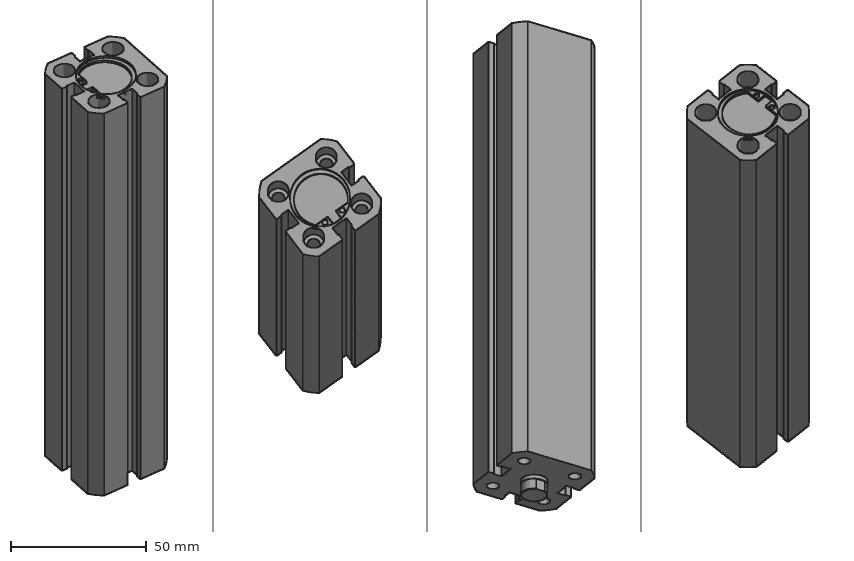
import cadquery as cq

TOTAL_LENGTH = 188.0
ROD_EXPOSED = 6.0
BODY_WIDTH = 36.0
CORNER_RADIUS = 22.5

SLOT_MOUTH_WIDTH = 5.6
SLOT_MOUTH_DEPTH = 2.5
SLOT_INNER_WIDTH = 6.4
SLOT_DEPTH = 5.8
SLOT_EDGE_CHAMFER = 0.2
SLOT_ANGLES = (0, 90, -90)

SCREW_PITCH = 22.0
SCREW_HOLE_DIAMETER = 4.7
COUNTERBORE_DIAMETER = 7.9
COUNTERBORE_DEPTH = 9.4

BORE_DIAMETER = 22.2
CAP_THICKNESS = 9.4
GROOVE_DIAMETER = 23.3
RING_RECESS = 1.0
RING_THICKNESS = 1.0
RING_INNER_DIAMETER = 20.0
RING_OFFSET = 0.5
RING_GAP = 3.8
LUG_TOP = -7.3
LUG_HOLE_DIAMETER = 2.0
LUG_HOLE_X = 4.0
LUG_HOLE_Y = -8.5

ROD_DIAMETER = 10.0
ROD_TIP_DIAMETER = 9.8
ROD_FLATS = 9.0
COLLAR_LENGTH = 1.7
ROD_CHAMFER = 0.2

HALF_WIDTH = BODY_WIDTH / 2
ROD_END = 0.0
HOUSING_BOTTOM = ROD_END + ROD_EXPOSED
HOUSING_TOP = TOTAL_LENGTH
HOUSING_LENGTH = HOUSING_TOP - HOUSING_BOTTOM
RING_TOP = HOUSING_TOP - RING_RECESS
CAP_TOP = RING_TOP - RING_THICKNESS
CAP_BOTTOM = CAP_TOP - CAP_THICKNESS


def cylinder(diameter, bottom, top):
    return cq.Workplane("XY").workplane(offset=bottom).circle(diameter / 2).extrude(top - bottom)


def slot_box(width, start_depth, end_depth):
    """Housing-length box between two depths below the -Y side."""
    depth = end_depth - start_depth
    centre_y = -HALF_WIDTH + (start_depth + end_depth) / 2
    level = cq.Workplane("XY").workplane(offset=HOUSING_BOTTOM)
    return level.center(0, centre_y).rect(width, depth).extrude(HOUSING_LENGTH)


def t_slot_cutter(angle):
    """T-slot with bevelled mouth edges, opening on the -Y side, turned about Z by the given angle."""
    mouth = slot_box(SLOT_MOUTH_WIDTH, 0, SLOT_DEPTH)
    inner = slot_box(SLOT_INNER_WIDTH, SLOT_MOUTH_DEPTH, SLOT_DEPTH)
    edge_bevel = (
        cq.Workplane("XY").workplane(offset=HOUSING_BOTTOM)
        .moveTo(-SLOT_MOUTH_WIDTH / 2 - SLOT_EDGE_CHAMFER, -HALF_WIDTH)
        .line(SLOT_EDGE_CHAMFER, SLOT_EDGE_CHAMFER)
        .hLine(SLOT_MOUTH_WIDTH)
        .line(SLOT_EDGE_CHAMFER, -SLOT_EDGE_CHAMFER)
        .close().extrude(HOUSING_LENGTH)
    )
    cutter = mouth.union(inner).union(edge_bevel)
    return cutter.rotate((0, 0, 0), (0, 0, 1), angle)


def make_housing():
    """Square profile with round corners, three T-slots, corner screw holes and the end-cap bore."""
    level = cq.Workplane("XY").workplane(offset=HOUSING_BOTTOM)
    housing = level.rect(BODY_WIDTH, BODY_WIDTH).extrude(HOUSING_LENGTH)
    housing = housing.intersect(cylinder(2 * CORNER_RADIUS, HOUSING_BOTTOM, HOUSING_TOP))
    for angle in SLOT_ANGLES:
        housing = housing.cut(t_slot_cutter(angle))
    housing = (
        housing.faces(">Z").workplane(origin=(0, 0, HOUSING_TOP))
        .rect(SCREW_PITCH, SCREW_PITCH, forConstruction=True).vertices()
        .cboreHole(SCREW_HOLE_DIAMETER, COUNTERBORE_DIAMETER, COUNTERBORE_DEPTH)
    )
    housing = housing.cut(cylinder(BORE_DIAMETER, CAP_BOTTOM, HOUSING_TOP))
    housing = housing.cut(cylinder(GROOVE_DIAMETER, CAP_TOP, RING_TOP))
    return housing.cut(cylinder(ROD_DIAMETER, HOUSING_BOTTOM, CAP_BOTTOM))


def make_cap():
    """Disc that closes the bore under the retaining ring."""
    return cylinder(BORE_DIAMETER, CAP_BOTTOM, CAP_TOP)


def make_retaining_ring():
    """Internal ring with an off-centre opening, two lugs beside its gap and a pair of plier holes."""
    opening = cylinder(RING_INNER_DIAMETER, CAP_TOP, RING_TOP).translate((0, -RING_OFFSET, 0))
    lug_zone = (
        cq.Workplane("XY").workplane(offset=CAP_TOP).center(0, LUG_TOP - GROOVE_DIAMETER / 2)
        .rect(GROOVE_DIAMETER, GROOVE_DIAMETER).extrude(RING_THICKNESS)
    )
    gap = (
        cq.Workplane("XY").workplane(offset=CAP_TOP).center(0, -GROOVE_DIAMETER / 2)
        .rect(RING_GAP, GROOVE_DIAMETER).extrude(RING_THICKNESS)
    )
    plier_holes = (
        cq.Workplane("XY").workplane(offset=CAP_TOP)
        .pushPoints([(-LUG_HOLE_X, LUG_HOLE_Y), (LUG_HOLE_X, LUG_HOLE_Y)])
        .circle(LUG_HOLE_DIAMETER / 2).extrude(RING_THICKNESS)
    )
    ring = cylinder(GROOVE_DIAMETER, CAP_TOP, RING_TOP).cut(opening.cut(lug_zone))
    return ring.cut(gap).cut(plier_holes)


def make_rod():
    """Rod with a slightly thinner tip that carries two wrench flats facing -Y and +Y."""
    tip_top = HOUSING_BOTTOM - COLLAR_LENGTH
    shank = cylinder(ROD_DIAMETER, tip_top, CAP_BOTTOM)
    tip = cylinder(ROD_TIP_DIAMETER, ROD_END, tip_top).faces("<Z").chamfer(ROD_CHAMFER)
    flats = (
        cq.Workplane("XY").workplane(offset=ROD_END)
        .rect(ROD_DIAMETER, ROD_FLATS).extrude(tip_top - ROD_END)
    )
    return shank.union(tip.intersect(flats))


housing = make_housing()
cap = make_cap()
retaining_ring = make_retaining_ring()
rod = make_rod()
result = cq.Compound.makeCompound([housing.val(), cap.val(), retaining_ring.val(), rod.val()])